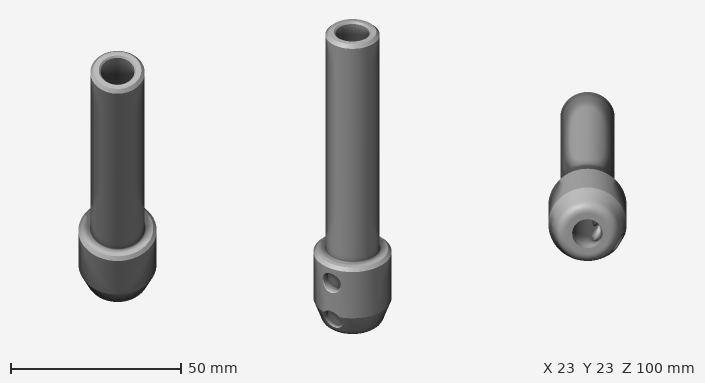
import cadquery as cq
import math

total_length = 100.0
shaft_radius = 8.0
head_radius = 11.5
head_height = 25.0
edge_chamfer = 1.0
neck_fillet = 0.5

nose_height = 8.0
nose_taper_angle = 20.0
nose_round = 3.0
nose_tip_radius = head_radius - nose_height * math.tan(math.radians(nose_taper_angle))

upper_bore_radius = 5.0
lower_bore_radius = 4.5
drill_point_angle = 140.0
bore_step_height = head_height
bore_mouth_chamfer = 0.5
bore_step_width = upper_bore_radius - lower_bore_radius
bore_step_cone_height = bore_step_width / math.tan(math.radians(drill_point_angle / 2))

screw_radius = 3.0
screw_length = 6.0
screw_tip_y = 2.65
screw_tip_chamfer = 0.9
screw_heights = (6.0, 19.0)
screw_hole_rim_chamfer = 0.3
rim_search_half_height = screw_radius + screw_hole_rim_chamfer


def make_outer_form():
    """Solid of revolution for the shaft, head and tapered nose."""
    form = (
        cq.Workplane("XZ")
        .lineTo(nose_tip_radius, 0)
        .lineTo(head_radius, nose_height)
        .lineTo(head_radius, head_height - edge_chamfer)
        .lineTo(head_radius - edge_chamfer, head_height)
        .lineTo(shaft_radius + neck_fillet, head_height)
        .radiusArc((shaft_radius, head_height + neck_fillet), neck_fillet)
        .lineTo(shaft_radius, total_length - edge_chamfer)
        .lineTo(shaft_radius - edge_chamfer, total_length)
        .lineTo(0, total_length)
        .close()
        .revolve(360, (0, 0, 0), (0, 1, 0))
    )
    return form.faces("<Z").edges().fillet(nose_round)


def make_bore():
    """Stepped bore along Z with a drill-point step and a chamfered upper mouth."""
    return (
        cq.Workplane("XZ")
        .lineTo(lower_bore_radius, 0)
        .lineTo(lower_bore_radius, bore_step_height - bore_step_cone_height)
        .lineTo(upper_bore_radius, bore_step_height)
        .lineTo(upper_bore_radius, total_length - bore_mouth_chamfer)
        .lineTo(upper_bore_radius + bore_mouth_chamfer, total_length)
        .lineTo(0, total_length)
        .close()
        .revolve(360, (0, 0, 0), (0, 1, 0))
    )


def make_cylinder_along_y(height, start_y, length):
    """Cylinder of the screw radius that runs toward +Y at the given height."""
    return cq.Workplane("XZ", origin=(0, start_y, height)).circle(screw_radius).extrude(-length)


def make_body():
    body = make_outer_form()
    for height in screw_heights:
        body = body.cut(make_cylinder_along_y(height, 0, head_radius))
        rim_box = cq.selectors.BoxSelector(
            (-head_radius, head_radius / 2, height - rim_search_half_height),
            (head_radius, 2 * head_radius, height + rim_search_half_height),
            boundingbox=True,
        )
        body = body.edges(rim_box).chamfer(screw_hole_rim_chamfer)
    return body.cut(make_bore())


def make_set_screw(height):
    screw = make_cylinder_along_y(height, screw_tip_y, screw_length)
    return screw.faces("<Y").edges().chamfer(screw_tip_chamfer)


body = make_body()
set_screws = [make_set_screw(height) for height in screw_heights]

result = cq.Compound.makeCompound([body.val(), *[screw.val() for screw in set_screws]])